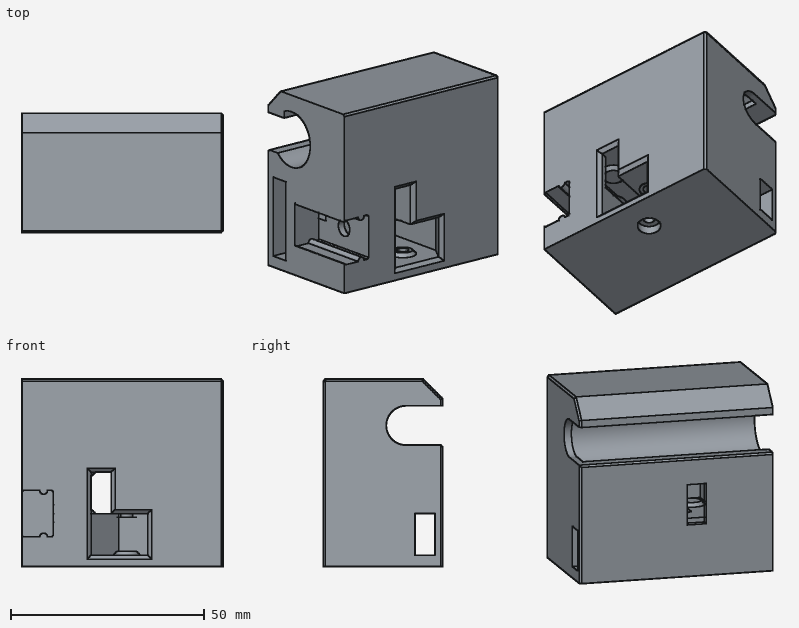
import cadquery as cq

length, depth, height = 52.0, 30.9, 48.5
edge_chamfer = 0.5
rear_chamfer = 5.1

bore_y, bore_z = 21.35, 36.5
bore_radius = 7.55
mouth_radius = 5.05
bore_lip_y = 24.45
bore_end_wall = 2.0

lower_floor = 3.0
level_height = 10.7
upper_floor = lower_floor + level_height
upper_ceiling = upper_floor + level_height

channel_front, channel_rear = 23.75, 28.85

window_left, window_step, window_right = 17.9, 23.05, 32.5
window_chamfer = 1.05
chamber_right = 35.4
flare_end_y = 5.7
deflector_right = 25.05

upper_left, upper_front = 11.45, 2.6
passage_front = 17.35

pulley_y = 9.0
lower_pulley_x = 27.1
upper_pulley_x = 15.6
seat_height = 1.0
seat_radius = 2.5
screw_diameter = 3.0
screw_head_diameter = 6.0
screw_head_depth = 2.5
bridge_thickness = 0.1

slot_length, slot_depth = 8.1, 20.1
slot_floor, slot_ceiling = 7.7, 19.7
slot_corner = 0.4
rib_x, rib_radius = 5.6, 1.0
blind_hole_diameter, blind_hole_depth = 4.6, 2.0
blind_hole_y = 9.95


def box(x0, x1, y0, y1, z0, z1):
    """Box between two opposite corners."""
    return cq.Workplane("XY").box(x1 - x0, y1 - y0, z1 - z0, centered=False).translate((x0, y0, z0))


def cylinder_x(radius, x0, x1, y, z):
    """Cylinder along X."""
    return cq.Workplane("YZ", origin=(x0, y, z)).circle(radius).extrude(x1 - x0)


def cylinder_z(diameter, x, y, z0, z1):
    """Cylinder along Z."""
    return cq.Workplane("XY", origin=(x, y, z0)).circle(diameter / 2).extrude(z1 - z0)


def seat(x, y, z, direction):
    """45-degree frustum standing on a floor (direction 1) or hanging from a ceiling (-1)."""
    base_radius = seat_radius + seat_height
    base, axis = cq.Vector(x, y, z), cq.Vector(0, 0, direction)
    cone = cq.Solid.makeCone(base_radius, seat_radius, seat_height, base, axis)
    return cq.Workplane(obj=cone)


def block():
    """Plain block with its long top edges and its right-hand edges chamfered."""
    body = box(0, length, 0, depth, 0, height)
    body = body.edges("|X and >Y and >Z").chamfer(rear_chamfer)
    body = body.edges("|X and <Y and >Z").chamfer(edge_chamfer)
    return body.faces(">X").edges("not <Z").chamfer(edge_chamfer)


def bearing_bore():
    """Through slot, the wider bearing bore inside it and a bevel on its lower rear edge."""
    mouth_floor = bore_z - mouth_radius
    mouth = cylinder_x(mouth_radius, 0, length, bore_y, bore_z).union(
        box(0, length, bore_y, depth, mouth_floor, bore_z + mouth_radius)
    )
    bore_end = length - bore_end_wall
    lip = box(0, bore_end, bore_lip_y, depth, bore_z, height)
    bore = cylinder_x(bore_radius, 0, bore_end, bore_y, bore_z).cut(lip)
    entry = (
        cq.Workplane("YZ")
        .moveTo(depth, mouth_floor)
        .lineTo(depth, mouth_floor - edge_chamfer)
        .lineTo(depth - edge_chamfer, mouth_floor)
        .close()
        .extrude(length)
    )
    return mouth.union(bore).union(entry)


def stepped_window(margin, y):
    """L-shaped wire in the plane at y, its sides moved outwards by margin."""
    left, right = window_left - margin, window_right + margin
    bottom, top = lower_floor - margin, upper_ceiling + margin
    step_x, step_z = window_step + margin, upper_floor + margin
    corners = [
        (left, bottom), (right, bottom), (right, step_z),
        (step_x, step_z), (step_x, top), (left, top),
    ]
    return cq.Wire.makePolygon([cq.Vector(x, y, z) for x, z in corners], close=True)


def front_window():
    """L-shaped mouth that widens at 45 degrees towards the front face."""
    outer = stepped_window(window_chamfer, 0)
    inner = stepped_window(0, window_chamfer)
    return cq.Workplane(obj=cq.Solid.makeLoft([outer, inner], True))


def lower_chamber():
    """Pulley chamber flaring to the right, with a 45-degree deflector wall towards the channel."""
    deflector_front = channel_front - (deflector_right - window_left)
    return (
        cq.Workplane("XY", origin=(0, 0, lower_floor))
        .moveTo(window_left, window_chamfer)
        .lineTo(window_right, window_chamfer)
        .lineTo(chamber_right, flare_end_y)
        .lineTo(chamber_right, channel_front)
        .lineTo(deflector_right, channel_front)
        .lineTo(window_left, deflector_front)
        .close()
        .extrude(level_height)
    )


def upper_chamber():
    """Pulley chamber, a straight passage from the window to the rear, and a passage to the side slot."""
    z0, z1 = upper_floor, upper_ceiling
    chamber = box(upper_left, window_step, upper_front, passage_front, z0, z1)
    straight = box(window_left, window_step, window_chamfer, depth, z0, z1)
    transverse = box(slot_length, window_step, passage_front, channel_rear, z0, z1)
    return chamber.union(straight).union(transverse)


def belt_channels():
    """Lower channel through the full length and upper channel that stops at the window step."""
    lower = box(0, length, channel_front, channel_rear, lower_floor, upper_floor)
    upper = box(0, window_step, channel_front, channel_rear, upper_floor, upper_ceiling)
    return lower.union(upper)


def side_slot():
    """Slot with bevelled corners, less its two ribs, plus a blind hole in its end wall."""
    slot = box(0, slot_length, 0, slot_depth, slot_floor, slot_ceiling)
    slot = slot.edges("|Y").chamfer(slot_corner)
    for z in (slot_floor, slot_ceiling):
        rib = cq.Workplane("XZ", origin=(rib_x, 0, z)).circle(rib_radius).extrude(-slot_depth)
        slot = slot.cut(rib)
    hole_end = slot_length + blind_hole_depth
    hole = cylinder_x(blind_hole_diameter / 2, slot_length, hole_end, blind_hole_y, upper_floor)
    return slot.union(hole)


def lower_seat():
    """Floor frustum, and a ceiling pin that ends in a thin bridging disc."""
    pin_end = upper_floor - seat_height
    x, y = lower_pulley_x, pulley_y
    pin = cylinder_z(screw_diameter, x, y, pin_end, upper_floor)
    disc = cylinder_z(2 * seat_radius, x, y, pin_end, pin_end + bridge_thickness)
    return seat(x, y, lower_floor, 1).union(pin).union(disc)


def screw_bore():
    """Screw hole through the floor seat, with a head recess in the bottom face."""
    x, y = lower_pulley_x, pulley_y
    shank = cylinder_z(screw_diameter, x, y, 0, lower_floor + seat_height)
    return shank.union(cylinder_z(screw_head_diameter, x, y, 0, screw_head_depth))


result = block().cut(bearing_bore()).cut(front_window())
result = result.cut(lower_chamber()).cut(upper_chamber()).cut(belt_channels()).cut(side_slot())
result = result.union(lower_seat()).cut(screw_bore())
for seat_z, seat_direction in ((upper_floor, 1), (upper_ceiling, -1)):
    result = result.union(seat(upper_pulley_x, pulley_y, seat_z, seat_direction))